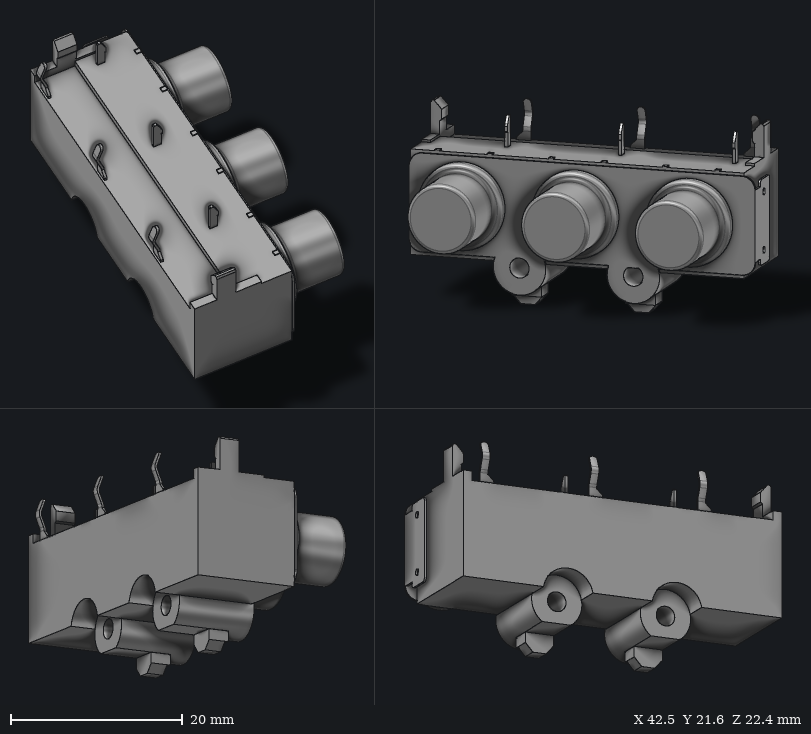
import cadquery as cq
import math


body_width = 40.95
body_depth = 12.85
body_top = 12.6
pad_top = 12.9
pad_width = 1.15
pad_length = 8.85
ledge_floor = 11.75
ledge_depth = 5.3
body_left = -body_width / 2
body_right = body_width / 2

jack_pitch = 14.0
jack_xs = [-jack_pitch, 0, jack_pitch]
jack_z = 6.37
tube_radius = 4.15
tube_length = 8.05
tube_rim_fillet = 0.42
flange_radius = 5.23
flange_length = 1.25
flange_fillet = 0.5

plate_thickness = 0.3
plate_height = 11.8
plate_corner = 1.57
ear_reach = 1.45
plate_overhang = 0.1
plate_left = body_left - ear_reach
plate_right = body_right + plate_overhang
ear_thickness = 0.25
ear_neck_height = 8.65
ear_height = 10.25
ear_shoulder_y = 11.05
ear_front_y = 7.65
ear_corner = 0.42
ear_hole_radius = 0.4
ear_hole_spacing = 6.95
ear_hole_y = 9.7
plate_back = body_depth + plate_thickness

tab_width = 0.6
tab_length = 0.7
tab_height = 0.13
tab_offset = 3.25

post_front_y = 2.95
post_back_y = 5.5
post_top = 16.9
post_hook_depth = 0.25
post_hook_bottom = 14.5
post_hook_nose_bottom = 14.7
post_hook_nose_top = 15.9
post_tip_width = 0.45
post_outer_chamfer_width = 0.15
post_outer_chamfer_height = 0.25

contact_offset = -3.7
contact_width = 1.0
contact_thickness = 0.35
contact_face_y = 0.25
contact_bend_z = 13.15
contact_apex_y = -0.45
contact_apex_z = 14.87
contact_top = 16.75
contact_apex_radius = 1.15
contact_root_radius = 0.98
contact_tip_radius = 0.45
contact_foot_width = 1.8
contact_foot_top = 12.85
contact_foot_shoulder = 12.1

blade_offset = -3.8
blade_width = 0.4
blade_front_y = 7.35
blade_back_y = 8.35
blade_bulge = 0.13
blade_bulge_bottom = 14.5
blade_bulge_top = 15.13
blade_slope_z = 15.42
blade_tip_y = 7.8
blade_top = 16.35
blade_tip_chamfer = 0.13

boss_xs = [-jack_pitch / 2, jack_pitch / 2]
boss_z = -0.6
boss_radius = 3.25
boss_front_y = 3.2
boss_flat_z = -3.25
boss_hole_radius = 1.2
hole_flat_z = 0.4

foot_front_y = 7.9
foot_back_y = 10.45
foot_tip_back_y = 10.03
foot_width = 3.65
foot_tip_width = 1.75
foot_shoulder_z = -4.5
foot_bottom_z = -5.55


def box(x0, x1, y0, y1, z0, z1):
    """Axis-aligned block between the given limits."""
    return cq.Workplane("XY").box(x1 - x0, y1 - y0, z1 - z0, centered=False).translate((x0, y0, z0))


def cylinder_y(x, z, radius, y0, y1):
    """Cylinder along Y between y0 and y1."""
    return cq.Workplane("XZ", origin=(x, y0, z)).circle(radius).extrude(y0 - y1)


def profile_xz(points, y0, y1):
    """Prism along Y from an outline of (x, z) points."""
    return cq.Workplane("XZ", origin=(0, y0, 0)).polyline(points).close().extrude(y0 - y1)


def profile_yz(points, x0, x1):
    """Prism along X from an outline of (y, z) points."""
    return cq.Workplane("YZ", origin=(x0, 0, 0)).polyline(points).close().extrude(x1 - x0)


def make_housing():
    """Block with a raised pad along each end and a lowered ledge at the front."""
    housing = box(body_left, body_right, 0, body_depth, 0, body_top)
    for x0 in (body_left, body_right - pad_width):
        housing = housing.union(box(x0, x0 + pad_width, 0, pad_length, 0, pad_top))
    ledge = box(body_left + pad_width, body_right - pad_width, 0, ledge_depth, ledge_floor, pad_top)
    return housing.cut(ledge)


def make_jack(x):
    """Solid barrel with a rounded rim, blended into a base flange."""
    rim_chord = 1 - math.sqrt(0.5)
    tube_end = plate_back + tube_length
    flange_end = plate_back + flange_length
    flange_mid = (flange_radius - flange_fillet * rim_chord, flange_end - flange_fillet * rim_chord)
    root_mid = (tube_radius + flange_fillet * rim_chord, flange_end + flange_fillet * rim_chord)
    rim_mid = (tube_radius - tube_rim_fillet * rim_chord, tube_end - tube_rim_fillet * rim_chord)
    half_section = (
        cq.Workplane("XY")
        .moveTo(0, body_depth)
        .lineTo(flange_radius, body_depth)
        .lineTo(flange_radius, flange_end - flange_fillet)
        .threePointArc(flange_mid, (flange_radius - flange_fillet, flange_end))
        .lineTo(tube_radius + flange_fillet, flange_end)
        .threePointArc(root_mid, (tube_radius, flange_end + flange_fillet))
        .lineTo(tube_radius, tube_end - tube_rim_fillet)
        .threePointArc(rim_mid, (tube_radius - tube_rim_fillet, tube_end))
        .lineTo(0, tube_end)
        .close()
    )
    return half_section.revolve(360, (0, 0, 0), (0, 1, 0)).translate((x, 0, jack_z))


def make_shield():
    """Rear plate with its perforated ear and the small tabs on the housing top."""
    half_height = plate_height / 2
    shield = box(
        plate_left, plate_right, body_depth, plate_back, jack_z - half_height, jack_z + half_height
    )
    shield = shield.edges("|Y").fillet(plate_corner)

    ear_right = plate_left + ear_thickness
    half_neck = ear_neck_height / 2
    half_ear = ear_height / 2
    neck_front_y = ear_shoulder_y - ear_corner
    neck = box(plate_left, ear_right, neck_front_y, plate_back, jack_z - half_neck, jack_z + half_neck)
    ear = box(plate_left, ear_right, ear_front_y, ear_shoulder_y, jack_z - half_ear, jack_z + half_ear)
    ear = ear.edges("|X").fillet(ear_corner).union(neck)
    holes = (
        cq.Workplane("YZ", origin=(plate_left, ear_hole_y, jack_z))
        .pushPoints([(0, -ear_hole_spacing / 2), (0, ear_hole_spacing / 2)])
        .circle(ear_hole_radius)
        .extrude(ear_thickness)
    )
    shield = shield.union(ear.cut(holes))

    for jack_x in jack_xs:
        for side in (-1, 1):
            x = jack_x + side * tab_offset
            shield = shield.union(
                box(
                    x - tab_width / 2, x + tab_width / 2,
                    body_depth - tab_length, body_depth,
                    body_top, body_top + tab_height,
                )
            )
    return shield


def make_left_post():
    """Hooked corner post, flush with the left end of the housing."""
    inner = body_left + pad_width
    nose = inner + post_hook_depth
    outline = [
        (body_left, ledge_floor),
        (inner, ledge_floor),
        (inner, post_hook_bottom),
        (nose, post_hook_nose_bottom),
        (nose, post_hook_nose_top),
        (body_left + post_tip_width, post_top),
        (body_left + post_outer_chamfer_width, post_top),
        (body_left, post_top - post_outer_chamfer_height),
    ]
    return profile_xz(outline, post_front_y, post_back_y)


def make_contact(jack_x):
    """Bent spring contact with a rounded tip and a foot widened to one side."""
    left = jack_x + contact_offset - contact_width / 2
    right = left + contact_width
    back_y = contact_face_y + contact_thickness
    apex_back_y = contact_apex_y + contact_thickness
    outline = [
        (contact_face_y, ledge_floor),
        (contact_face_y, contact_bend_z),
        (contact_apex_y, contact_apex_z),
        (contact_face_y, contact_top),
        (back_y, contact_top),
        (apex_back_y, contact_apex_z),
        (back_y, contact_bend_z),
        (back_y, ledge_floor),
    ]
    strip = profile_yz(outline, left, right)
    bends = [
        (contact_apex_y, contact_apex_z, contact_apex_radius),
        (apex_back_y, contact_apex_z, contact_apex_radius - contact_thickness),
        (contact_face_y, contact_bend_z, contact_root_radius),
        (back_y, contact_bend_z, contact_root_radius + contact_thickness),
    ]
    for y, z, radius in bends:
        bend_middle = ((left + right) / 2, y, z)
        strip = strip.edges(cq.selectors.NearestToPointSelector(bend_middle)).fillet(radius)

    tip_envelope = box(left, right, contact_apex_y, back_y, ledge_floor, contact_top)
    tip_envelope = tip_envelope.edges("|Y and >Z").fillet(contact_tip_radius)
    foot_outline = [
        (left, ledge_floor),
        (left + contact_foot_width, ledge_floor),
        (left + contact_foot_width, contact_foot_shoulder),
        (right, contact_foot_top),
        (left, contact_foot_top),
    ]
    foot = profile_xz(foot_outline, contact_face_y, back_y)
    return strip.intersect(tip_envelope).union(foot)


def make_blade(jack_x):
    """Flat pin with a slight bulge and a sloping tip on its rear edge."""
    left = jack_x + blade_offset - blade_width / 2
    outline = [
        (blade_front_y, body_top),
        (blade_front_y, blade_top - blade_tip_chamfer),
        (blade_front_y + blade_tip_chamfer, blade_top),
        (blade_tip_y, blade_top),
        (blade_back_y, blade_slope_z),
        (blade_back_y + blade_bulge, blade_bulge_top),
        (blade_back_y + blade_bulge, blade_bulge_bottom),
        (blade_back_y, blade_bulge_bottom - blade_bulge),
        (blade_back_y, body_top),
    ]
    return profile_yz(outline, left, left + blade_width)


def make_boss(x):
    """Round boss reaching back through the shield, flattened below, with its foot."""
    boss = cylinder_y(x, boss_z, boss_radius, boss_front_y, plate_back)
    below_flat = box(
        x - boss_radius, x + boss_radius, boss_front_y, foot_back_y, boss_z - boss_radius, boss_flat_z
    )
    foot = box(
        x - foot_width / 2, x + foot_width / 2, foot_front_y, foot_back_y, foot_shoulder_z, boss_flat_z
    )
    tip_outline = [
        (x - foot_width / 2, foot_shoulder_z),
        (x + foot_width / 2, foot_shoulder_z),
        (x + foot_tip_width / 2, foot_bottom_z),
        (x - foot_tip_width / 2, foot_bottom_z),
    ]
    tip = profile_xz(tip_outline, foot_front_y, foot_tip_back_y)
    return boss.cut(below_flat).union(foot).union(tip)


def make_hole_flat():
    """Segment of the shield that closes the top of the left screw hole."""
    disc = cylinder_y(boss_xs[0], boss_z, boss_hole_radius, body_depth, plate_back)
    above_flat = box(body_left, 0, body_depth, plate_back, hole_flat_z, boss_z + boss_hole_radius)
    return disc.intersect(above_flat)


result = make_housing().union(make_shield())

left_post = make_left_post()
result = result.union(left_post).union(left_post.mirror("YZ"))

for jack_x in jack_xs:
    result = result.union(make_jack(jack_x))
    result = result.union(make_contact(jack_x))
    result = result.union(make_blade(jack_x))

for boss_x in boss_xs:
    result = result.cut(cylinder_y(boss_x, boss_z, boss_radius, 0, boss_front_y))
    result = result.union(make_boss(boss_x))
    result = result.cut(cylinder_y(boss_x, boss_z, boss_hole_radius, 0, plate_back))

result = result.union(make_hole_flat())